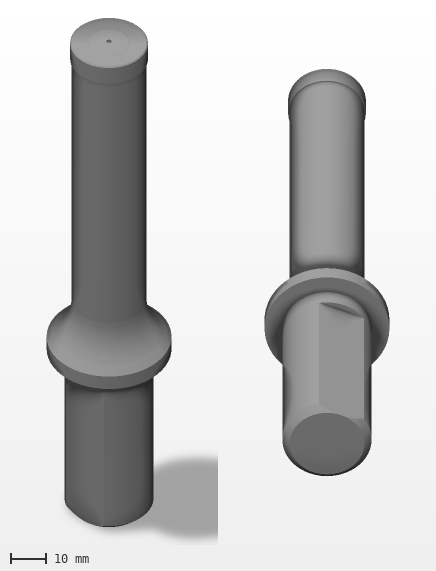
import cadquery as cq
import math

total_length = 169.0
shank_length = 56.5
flange_thickness = 4.5
flange_bevel_height = 2.4
flare_top = 74.7
head_length = 6.5

shank_diameter = 25.0
flange_diameter = 35.0
flare_diameter = 30.3
neck_diameter = 21.0
head_diameter = 21.8

shank_end_diameter = 21.0
shank_bevel_height = 2.0
flat_offset = 10.5
flat_length = 51.4

head_edge_bevel = 0.3
face_rise = 0.08
pilot_base_diameter = 11.5
pilot_top_diameter = 10.8
pilot_step = 0.08
center_hole_diameter = 1.5
center_hole_depth = 0.5

head_bottom = total_length - head_length
flange_top = shank_length + flange_thickness
bevel_top = flange_top + flange_bevel_height


def flare_midpoint():
    """Middle of the concave arc that leaves the neck tangent to its side."""
    drop = flare_top - bevel_top
    spread = (flare_diameter - neck_diameter) / 2
    radius = (drop**2 + spread**2) / (2 * spread)
    half_angle = math.asin(drop / radius) / 2
    x = neck_diameter / 2 + radius * (1 - math.cos(half_angle))
    z = flare_top - radius * math.sin(half_angle)
    return x, z


def make_holder():
    """Turned shank, flange, flare and neck, with one flat on the -Y side of the shank."""
    turned = (
        cq.Workplane("XZ")
        .lineTo(shank_end_diameter / 2, 0)
        .lineTo(shank_diameter / 2, shank_bevel_height)
        .lineTo(shank_diameter / 2, shank_length)
        .lineTo(flange_diameter / 2, shank_length)
        .lineTo(flange_diameter / 2, flange_top)
        .lineTo(flare_diameter / 2, bevel_top)
        .threePointArc(flare_midpoint(), (neck_diameter / 2, flare_top))
        .lineTo(neck_diameter / 2, head_bottom)
        .lineTo(0, head_bottom)
        .close()
        .revolve(360, (0, 0), (0, 1))
    )
    flat_cut = cq.Workplane("XY").box(
        shank_diameter, shank_diameter, flat_length, centered=(True, False, False)
    ).translate((0, -flat_offset - shank_diameter, 0))
    return turned.cut(flat_cut)


def make_head():
    """Bevelled disc with a shallow conical end face, a raised pilot and a small center hole."""
    hole_bottom = total_length - center_hole_depth
    pilot_top = total_length - face_rise
    pilot_base = pilot_top - pilot_step
    face_edge = pilot_base - face_rise
    return (
        cq.Workplane("XZ")
        .moveTo(0, head_bottom)
        .lineTo(head_diameter / 2, head_bottom)
        .lineTo(head_diameter / 2, face_edge - head_edge_bevel)
        .lineTo(head_diameter / 2 - head_edge_bevel, face_edge)
        .lineTo(pilot_base_diameter / 2, pilot_base)
        .lineTo(pilot_top_diameter / 2, pilot_top)
        .lineTo(center_hole_diameter / 2, total_length)
        .lineTo(center_hole_diameter / 2, hole_bottom)
        .lineTo(0, hole_bottom)
        .close()
        .revolve(360, (0, 0), (0, 1))
    )


holder = make_holder()
head = make_head()
result = cq.Compound.makeCompound([holder.val(), head.val()])